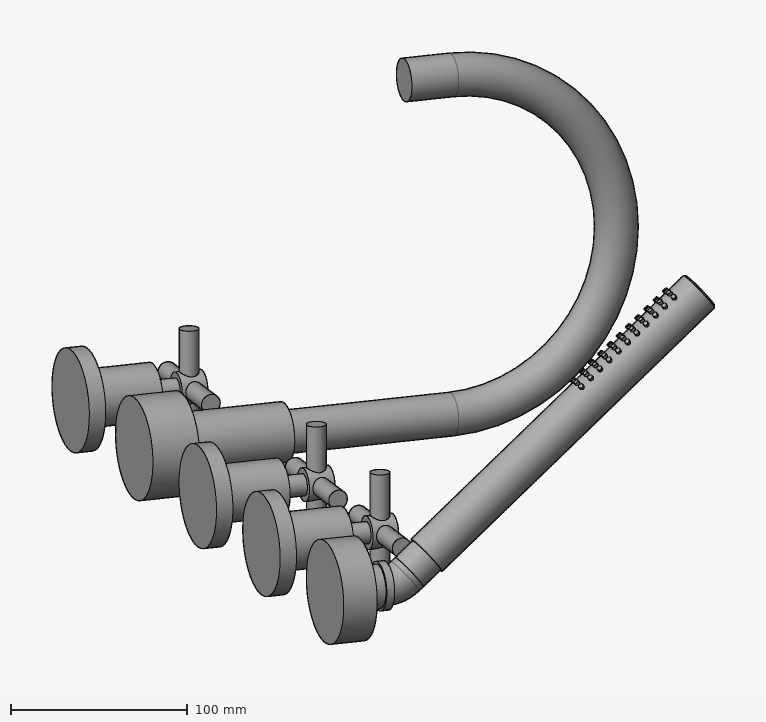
import cadquery as cq
import math


overall_length = 471.5
arm_span = 70.0
plate_diameter = 60.0
fitting_pitch = (overall_length - arm_span / 2 - plate_diameter / 2) / 4
handle_positions = [0, 2 * fitting_pitch, 3 * fitting_pitch]
spout_position = fitting_pitch
shower_position = 4 * fitting_pitch

handle_plate_height = 10.0
handle_body_diameter = 33.5
handle_body_end = 49.5
handle_stem_diameter = 12.5
arm_diameter = 11.5
hub_diameter = 19.5
hub_length = 15.5
cross_center = 71.5

overall_depth = 304.0
spout_plate_height = 28.5
collar_diameter = 35.0
collar_end = 90.5
tube_diameter = 25.0
overall_height = 247.5
bend_radius = (overall_height - arm_span / 2 - tube_diameter / 2) / 2
bend_start = overall_depth - tube_diameter / 2 - bend_radius
outlet_length = 28.5

holder_plate_height = 20.5
neck_diameter = 25.5
flange_start = 32.0
flange_diameter = 28.5
elbow_start = 37.0
elbow_diameter = 23.0
pivot = 43.5
tilt = 40.0
holder_end = 10.0

wand_start = 23.5
wand_end = 239.5
wand_diameter = 25.5
wand_end_chamfer = 1.0
nozzle_diameter = 3.0
nozzle_height = 2.0
nozzle_rows = 11
nozzle_field_length = 73.0
nozzle_row_pitch = nozzle_field_length / (nozzle_rows - 1)
nozzle_last_row = 225.5
nozzle_columns = 4
nozzle_column_angle = 20.0


def cylinder(diameter, start, end, x=0.0):
    """Cylinder along +Y between two distances from the mounting plane."""
    base = cq.Vector(x, start, 0)
    return cq.Workplane(cq.Solid.makeCylinder(diameter / 2, end - start, base, cq.Vector(0, 1, 0)))


def arm(direction):
    """Round bar of the handle's cross, centred on the handle axis."""
    axis = cq.Vector(*direction)
    base = cq.Vector(0, cross_center, 0) - axis * (arm_span / 2)
    return cq.Workplane(cq.Solid.makeCylinder(arm_diameter / 2, arm_span, base, axis))


def make_handle(x):
    plate = cylinder(plate_diameter, 0, handle_plate_height)
    body = cylinder(handle_body_diameter, handle_plate_height, handle_body_end)
    stem = cylinder(handle_stem_diameter, handle_body_end, cross_center)
    hub = cylinder(hub_diameter, cross_center - hub_length / 2, cross_center + hub_length / 2)
    handle = plate.union(body).union(stem).union(hub)
    handle = handle.union(arm((1, 0, 0))).union(arm((0, 0, 1)))
    return handle.translate((x, 0, 0))


def make_spout():
    plate = cylinder(plate_diameter, 0, spout_plate_height)
    collar = cylinder(collar_diameter, spout_plate_height, collar_end)
    bend_top = 2 * bend_radius
    path = (
        cq.Workplane("YZ")
        .moveTo(collar_end, 0)
        .lineTo(bend_start, 0)
        .threePointArc((bend_start + bend_radius, bend_radius), (bend_start, bend_top))
        .lineTo(bend_start - outlet_length, bend_top)
    )
    tube = cq.Workplane("XZ", origin=(0, collar_end, 0)).circle(tube_diameter / 2).sweep(path)
    return plate.union(collar).union(tube).translate((spout_position, 0, 0))


def on_shower_axis(solid):
    """Move a solid built along +Y from the origin onto the tilted shower axis."""
    return solid.rotate((0, 0, 0), (1, 0, 0), tilt).translate((shower_position, pivot, 0))


def make_holder():
    plate = cylinder(plate_diameter, 0, holder_plate_height, shower_position)
    neck = cylinder(neck_diameter, holder_plate_height, flange_start, shower_position)
    flange = cylinder(flange_diameter, flange_start, elbow_start, shower_position)
    tangent_length = pivot - elbow_start
    elbow_radius = tangent_length / math.tan(math.radians(tilt / 2))
    elbow = (
        cq.Workplane("XZ", origin=(shower_position, elbow_start, 0))
        .circle(elbow_diameter / 2)
        .revolve(tilt, (-4.5, elbow_radius, 0), (4.5, elbow_radius, 0))
    )
    holder_arm = on_shower_axis(cylinder(elbow_diameter, tangent_length, holder_end))
    return plate.union(neck).union(flange).union(elbow).union(holder_arm)


def make_nozzle(distance, angle):
    """Spray nozzle standing radially on the wand, at an angle about its axis from the top."""
    reach = wand_diameter / 2 + nozzle_height
    root = wand_diameter / 4
    nozzle = cq.Solid.makeCylinder(nozzle_diameter / 2, reach - root, cq.Vector(0, distance, root))
    return nozzle.rotate(cq.Vector(0, 0, 0), cq.Vector(0, 1, 0), angle)


def make_hand_shower():
    connector = cylinder(elbow_diameter, holder_end, wand_start)
    wand = cylinder(wand_diameter, wand_start, wand_end).faces(">Y").chamfer(wand_end_chamfer)
    nozzles = []
    for row in range(nozzle_rows):
        distance = nozzle_last_row - row * nozzle_row_pitch
        for column in range(nozzle_columns):
            angle = (column - (nozzle_columns - 1) / 2) * nozzle_column_angle
            nozzles.append(make_nozzle(distance, angle))
    shower = connector.union(wand).val().fuse(*nozzles)
    return on_shower_axis(cq.Workplane(shower))


handles = [make_handle(x) for x in handle_positions]
spout = make_spout()
holder = make_holder()
hand_shower = make_hand_shower()

result = cq.Compound.makeCompound(
    [
        *[handle.solids().val() for handle in handles],
        spout.solids().val(),
        holder.solids().val(),
        hand_shower.solids().val(),
    ]
)